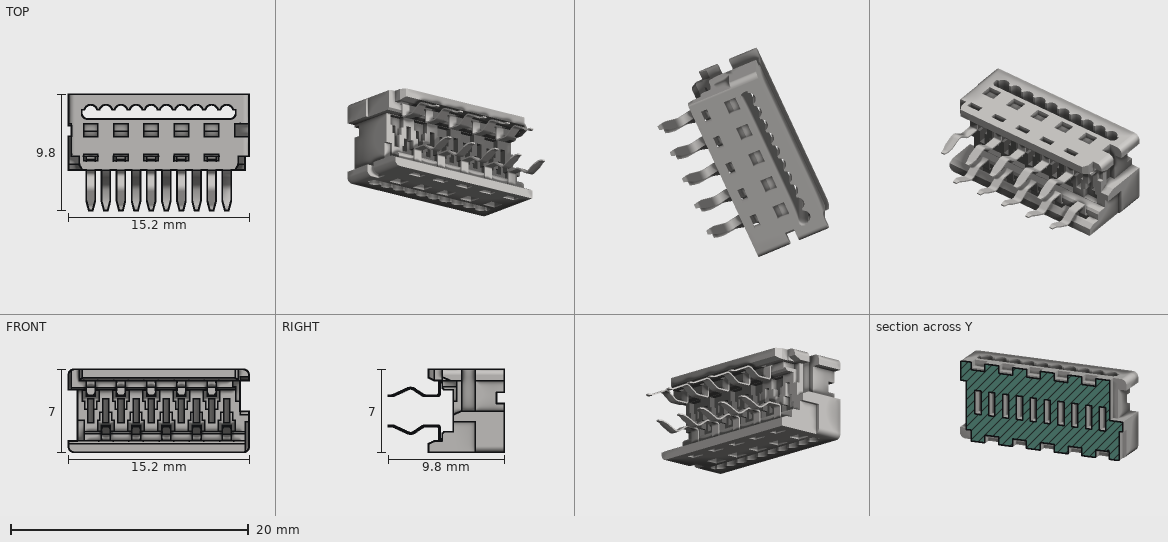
import cadquery as cq

length = 15.21
height = 7.0
total_depth = 9.8
plate_depth = 6.4
body_depth = 4.32
ledge_depth = 5.25
body_width = 13.69
plate_thickness = 0.96
ledge_thickness = 0.79
corner_radius = 0.5

half_length = length / 2
half_height = height / 2
half_body = body_width / 2
plate_inner = half_height - plate_thickness
ledge_inner = plate_inner - ledge_thickness

pole_count = 10
pole_span = 11.44
pitch = pole_span / (pole_count - 1)
all_poles = [-pole_span / 2 + pitch * i for i in range(pole_count)]
upper_poles = all_poles[::2]

tongue_width = 13.42
tongue_corner_x = 0.29
lead_in_depth = 0.5
lead_in_height = 0.25
lower_plate_right = 7.25

ledge_chamfer = 0.18
upper_ledge_left = -7.35
upper_ledge_right = 6.46
lower_ledge_left = -6.25

arm_step_depth = 2.48
lower_arm_top = -0.03
lower_arm_slim_top = -0.93
arm_bevel_height = 0.3
arm_bevel_depth = 0.68

recess_depth = 0.3
recess_end = 0.8
ledge_nick_left = 6.2
ledge_nick_bottom = 2.04
end_notch_inner = 6.39
right_notch_back = 2.48
right_notch_front = 3.57
left_notch_back = 2.68
left_notch_front = 3.53
groove_depth = 0.65
groove_bottom = 0.62
groove_top = 1.55

slot_width = 12.93
slot_back = 1.32
slot_front = 2.08
slot_corner_radius = 0.45
scallop_radius = 0.55
scallop_back = 0.91

opening_width = 1.22
pocket_back = 2.48
pocket_step = 3.12
pocket_front = 3.57
pocket_depth = 0.52
pocket_front_depth = 0.67
window_back = 5.08
upper_window_front = 5.63
lower_window_front = 5.75
cavity_width = 1.4
cavity_neck_width = 0.99
cavity_neck_end = 0.12
cavity_depth = 0.53
cavity_lip = 0.03
passage_width = 0.52
passage_height = 2.04

contact_width = 0.76
contact_thickness = 0.12
contact_root = 4.87
contact_drop_at = 5.48
contact_root_z = 2.45
contact_flat_z = 1.26
contact_peak_z = 1.98
contact_rise_at = 6.78
contact_peak_at = 7.85
contact_tip_at = 9.4
contact_drop_radius = 0.18
contact_rise_radius = 0.56
contact_peak_radius = 0.55
contact_tip_radius = 0.45
taper_start = 8.97
tip_width = 0.33


def block(x0, x1, depth0, depth1, z0, z1):
    """Box between two X values, two depths from the back face and two heights."""
    return (
        cq.Workplane("XY")
        .box(x1 - x0, depth1 - depth0, z1 - z0, centered=False)
        .translate((x0, -depth1, z0))
    )


def side_prism(points, x0, x1):
    """Prism along X from (Y, Z) points."""
    return cq.Workplane("YZ").polyline(points).close().extrude(x1 - x0).translate((x0, 0, 0))


def turned(shape):
    """Half a turn about the Y axis: upper row to lower row."""
    return shape.rotate((0, 0, 0), (0, 1, 0), 180)


def plate(x0, x1):
    """Top plate with a bevelled inner front edge."""
    return side_prism(
        [
            (0, half_height),
            (-plate_depth, half_height),
            (-plate_depth, plate_inner + lead_in_height),
            (-plate_depth + lead_in_depth, plate_inner),
            (0, plate_inner),
        ],
        x0,
        x1,
    )


def ledge(x0, x1):
    """Upper ledge with a chamfered inner front edge."""
    return side_prism(
        [
            (0, plate_inner),
            (-ledge_depth, plate_inner),
            (-ledge_depth, ledge_inner + ledge_chamfer),
            (-ledge_depth + ledge_chamfer, ledge_inner),
            (0, ledge_inner),
        ],
        x0,
        x1,
    )


def top_plate():
    """Top plate, narrowed to a tongue with cut corners in front of the end arms."""
    half = tongue_width / 2
    corner_y = -plate_depth + lead_in_depth
    outline = [
        (-half_length, 0),
        (-half_length, -ledge_depth),
        (-half, -ledge_depth),
        (-half, corner_y),
        (-half + tongue_corner_x, -plate_depth),
        (half - tongue_corner_x, -plate_depth),
        (half, corner_y),
        (half, -ledge_depth),
        (half_length, -ledge_depth),
        (half_length, 0),
    ]
    footprint = cq.Workplane("XY").polyline(outline).close().extrude(height, both=True)
    return plate(-half_length, half_length).intersect(footprint)


def arm_bevel_cut(arm_depth, z_edge, direction):
    """Wedge that bevels the front end of a right-hand arm, up (1) or down (-1) from z_edge."""
    points = [
        (-arm_depth, z_edge),
        (-arm_depth + arm_bevel_depth, z_edge),
        (-arm_depth, z_edge + direction * arm_bevel_height),
    ]
    return side_prism(points, half_body, half_length)


def housing_blank():
    """Block, plates, ledges and end arms, with the long outer edges rounded."""
    bottom_plate = turned(plate(-half_length, half_length))
    blank = block(-half_body, half_body, 0, body_depth, -plate_inner, plate_inner)
    blank = blank.union(top_plate()).union(bottom_plate)
    blank = blank.union(ledge(upper_ledge_left, upper_ledge_right))
    blank = blank.union(turned(ledge(-lower_plate_right, -lower_ledge_left)))
    upper_left_arm = block(-half_length, -half_body, 0, arm_step_depth, ledge_inner, half_height)
    lower_right_arm = block(half_body, half_length, 0, body_depth, -half_height, lower_arm_top)
    blank = blank.union(upper_left_arm).union(lower_right_arm)
    blank = blank.cut(arm_bevel_cut(ledge_depth, plate_inner, 1))
    blank = blank.cut(arm_bevel_cut(body_depth, lower_arm_top, -1))
    rounded = (
        cq.Workplane("XY")
        .box(length, 2 * total_depth, height)
        .edges("|Y")
        .fillet(corner_radius)
    )
    return blank.intersect(rounded)


def end_cuts():
    """Steps, notches and recesses at the two ends of the housing."""
    slim_left = block(-half_length, upper_ledge_left, arm_step_depth, plate_depth, 0, half_height)
    slim_right = block(
        lower_plate_right, half_length, arm_step_depth, plate_depth, -half_height, lower_arm_slim_top
    )
    right_notch = block(
        end_notch_inner, half_length, right_notch_back, right_notch_front, lower_arm_top, half_height
    )
    left_notch = block(
        -half_length, -end_notch_inner, left_notch_back, left_notch_front, -half_height, -plate_inner
    )
    recess_back = body_depth - recess_depth
    left_recess = block(
        -half_body, lower_ledge_left, recess_back, ledge_depth, -plate_inner, -recess_end
    )
    right_recess = block(
        upper_ledge_right, half_body, recess_back, ledge_depth, recess_end, plate_inner
    )
    ledge_nick = block(
        ledge_nick_left, half_body, recess_back, ledge_depth, ledge_nick_bottom, plate_inner
    )
    return [slim_left, slim_right, right_notch, left_notch, left_recess, right_recess, ledge_nick]


def back_groove():
    """Groove along the whole back face."""
    return block(-half_length, half_length, 0, groove_depth, groove_bottom, groove_top)


def wire_slot():
    """Slot through the full height, scalloped along its back edge for the wires."""
    slot = block(-slot_width / 2, slot_width / 2, slot_back, slot_front, -half_height, half_height)
    slot = slot.edges("|Z and <Y").fillet(slot_corner_radius)
    scallops = (
        cq.Workplane("XY")
        .pushPoints([(x, -scallop_back - scallop_radius) for x in all_poles])
        .circle(scallop_radius)
        .extrude(half_height, both=True)
    )
    return slot.union(scallops)


def pole_cut(x, window_front):
    """Openings of one pole, as in the upper row: stepped pocket, window and stepped cavity."""

    def centred(width, depth0, depth1, z0, z1):
        return block(x - width / 2, x + width / 2, depth0, depth1, z0, z1)

    front_floor = half_height - pocket_front_depth
    cavity_end = ledge_inner - cavity_lip
    cavity_back = body_depth - cavity_depth
    cut = centred(opening_width, pocket_back, pocket_front, half_height - pocket_depth, half_height)
    cut = cut.union(centred(opening_width, pocket_step, pocket_front, front_floor, half_height))
    cut = cut.union(centred(opening_width, window_back, window_front, plate_inner, half_height))
    cut = cut.union(centred(cavity_width, cavity_back, body_depth, recess_end, cavity_end))
    return cut.union(
        centred(cavity_neck_width, cavity_back, body_depth, cavity_neck_end, recess_end)
    )


def passage(x):
    """Narrow passage from the front face into the wire slot."""
    return block(
        x - passage_width / 2, x + passage_width / 2,
        slot_back, body_depth, -passage_height / 2, passage_height / 2,
    )


def contact(x):
    """One upper contact: a bent strip with a tapered tip."""
    corners = [
        (contact_root, contact_root_z, 0),
        (contact_drop_at, contact_root_z, contact_drop_radius),
        (contact_drop_at, contact_flat_z, contact_drop_radius),
        (contact_rise_at, contact_flat_z, contact_rise_radius),
        (contact_peak_at, contact_peak_z, contact_peak_radius),
        (contact_tip_at, contact_flat_z, contact_tip_radius),
        (total_depth, contact_flat_z, 0),
    ]
    centre_line = cq.Wire.makePolygon([cq.Vector(0, -depth, z) for depth, z, _ in corners])
    for index in range(len(corners) - 2, 0, -1):
        centre_line = centre_line.fillet(corners[index][2], [centre_line.Vertices()[index]])
    section = cq.Workplane("XZ", origin=(0, -contact_root, contact_root_z))
    strip = section.rect(contact_width, contact_thickness).sweep(cq.Workplane(centre_line))
    half = contact_width / 2
    outline = [
        (-half, 0),
        (-half, -taper_start),
        (-tip_width / 2, -total_depth),
        (tip_width / 2, -total_depth),
        (half, -taper_start),
        (half, 0),
    ]
    footprint = cq.Workplane("XY").polyline(outline).close().extrude(height)
    return strip.intersect(footprint).translate((x, 0, 0))


housing = housing_blank()
for feature in end_cuts():
    housing = housing.cut(feature)
housing = housing.cut(back_groove()).cut(wire_slot())
for pole in all_poles:
    housing = housing.cut(passage(pole))
for pole in upper_poles:
    housing = housing.cut(pole_cut(pole, upper_window_front))
    housing = housing.cut(turned(pole_cut(pole, lower_window_front)))

result = housing
for pole in upper_poles:
    upper_contact = contact(pole)
    result = result.union(upper_contact).union(turned(upper_contact))